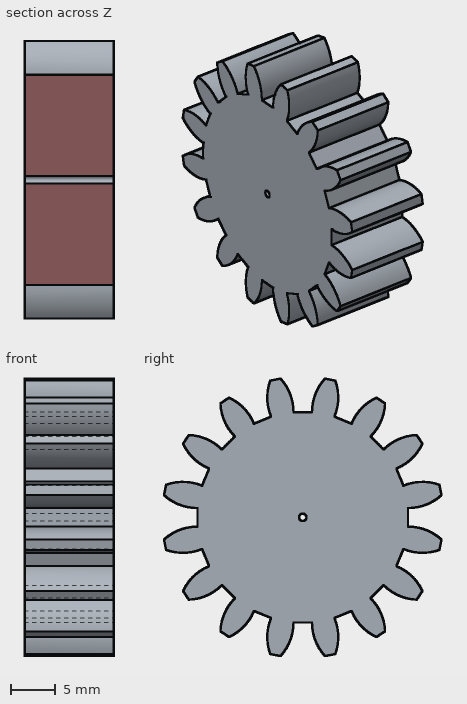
import cadquery as cq
import math

overall_size = 31.1
face_width = 10.0
bore_diameter = 0.8

tooth_count = 16
gap_floor_distance = 11.8
gap_floor_half_width = 1.03
flank_middle_distance = 13.8
flank_middle_half_width = 1.322
tip_half_width = 0.6

pitch_angle = 2 * math.pi / tooth_count
half_pitch = pitch_angle / 2
tip_distance = (overall_size / 2 - tip_half_width * math.sin(half_pitch)) / math.cos(half_pitch)


def turned(along, across, angle):
    """Turn a point, given along and across a radial line, to that line's angle."""
    return (
        along * math.cos(angle) - across * math.sin(angle),
        along * math.sin(angle) + across * math.cos(angle),
    )


def gear_outline():
    """Draw flat gap floors, arc flanks and flat tips, one pitch at a time."""
    outline = cq.Workplane("YZ").moveTo(*turned(gap_floor_distance, -gap_floor_half_width, 0))
    for index in range(tooth_count):
        gap_angle = index * pitch_angle
        tooth_angle = gap_angle + half_pitch
        next_gap_angle = gap_angle + pitch_angle
        outline = (
            outline
            .lineTo(*turned(gap_floor_distance, gap_floor_half_width, gap_angle))
            .threePointArc(
                turned(flank_middle_distance, -flank_middle_half_width, tooth_angle),
                turned(tip_distance, -tip_half_width, tooth_angle),
            )
            .lineTo(*turned(tip_distance, tip_half_width, tooth_angle))
            .threePointArc(
                turned(flank_middle_distance, flank_middle_half_width, tooth_angle),
                turned(gap_floor_distance, -gap_floor_half_width, next_gap_angle),
            )
        )
    return outline.close()


gear = gear_outline().extrude(face_width / 2, both=True)

bore = cq.Workplane("YZ").circle(bore_diameter / 2).extrude(face_width / 2, both=True)

result = gear.cut(bore)